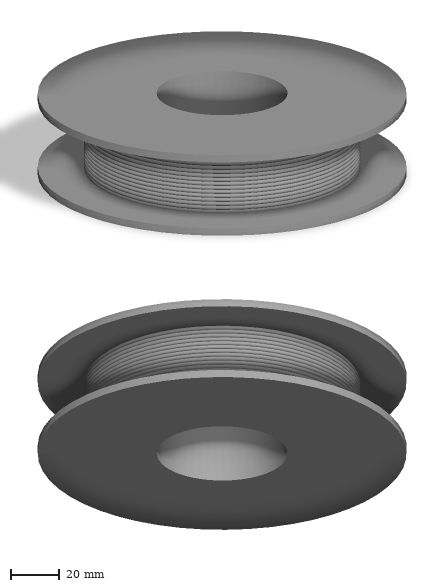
import cadquery as cq

flange_diameter = 152.4
bore_diameter = 54.1
total_height = 35.4
flange_thickness = 3.2
winding_diameter = 114.3
wire_diameter = 1.75
turn_count = 17
first_turn_rise = 0.23

wire_radius = wire_diameter / 2
groove_radius = winding_diameter / 2 - wire_radius
lower_face = -total_height / 2 + flange_thickness
upper_flange_bottom = -lower_face
first_turn_center = lower_face + first_turn_rise
winding_bottom = first_turn_center - wire_radius
winding_top = winding_bottom + turn_count * wire_diameter


def make_flange(bottom):
    """Flat disc whose underside is at the given height."""
    return (
        cq.Workplane("XY")
        .workplane(offset=bottom)
        .circle(flange_diameter / 2)
        .circle(bore_diameter / 2)
        .extrude(flange_thickness)
    )


def make_winding():
    """Hub with touching wire turns; its end turns are partly sunk in the flanges."""
    profile = (
        cq.Workplane("XZ")
        .moveTo(bore_diameter / 2, winding_bottom)
        .lineTo(groove_radius, winding_bottom)
    )
    for turn in range(turn_count):
        turn_center = first_turn_center + turn * wire_diameter
        profile = profile.threePointArc(
            (winding_diameter / 2, turn_center),
            (groove_radius, turn_center + wire_radius),
        )
    profile = profile.lineTo(bore_diameter / 2, winding_top).close()
    return profile.revolve(360, (0, 0, 0), (0, 1, 0))


lower_flange = make_flange(-total_height / 2)
upper_flange = make_flange(upper_flange_bottom)
result = make_winding().union(lower_flange).union(upper_flange)